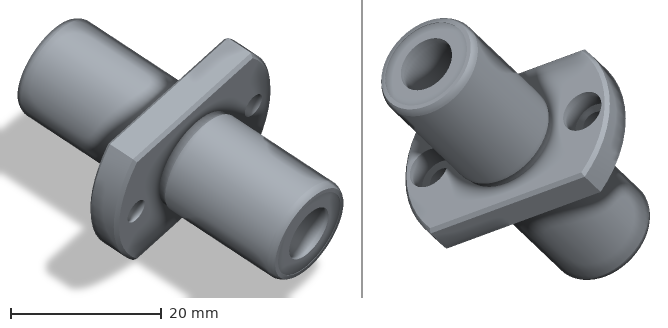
import cadquery as cq

sleeve_length = 45.0
sleeve_diameter = 15.0
bore_diameter = 8.0

end_bevel_length = 1.0
end_bevel_depth = 0.5
end_bevel_radius = 2.25

recess_diameter = 12.8
recess_depth = 0.1

groove_width = 1.2
groove_depth = 0.25
groove_depth_at_flange = 0.22

flange_diameter = 32.0
flange_height = 21.0
flange_thickness = 5.0
flange_chamfer = 0.5

hole_spacing = 24.0
hole_diameter = 3.5
counterbore_diameter = 6.0
counterbore_depth = 3.1

half_length = sleeve_length / 2
sleeve_radius = sleeve_diameter / 2
flange_face_x = flange_thickness / 2


def cylinder_x(diameter, start_x, length):
    """Cylinder along +X from start_x, centred on the X axis."""
    return cq.Workplane("YZ", origin=(start_x, 0, 0)).circle(diameter / 2).extrude(length)


def make_sleeve_half():
    """The +X half of the solid sleeve, with its bevelled end and its relief groove."""
    groove_end_x = flange_face_x + groove_width
    bevel_start_x = half_length - end_bevel_length
    return (
        cq.Workplane("XY")
        .lineTo(0, sleeve_radius - groove_depth_at_flange)
        .lineTo(flange_face_x, sleeve_radius - groove_depth_at_flange)
        .threePointArc(
            (flange_face_x + groove_width / 2, sleeve_radius - groove_depth),
            (groove_end_x, sleeve_radius),
        )
        .lineTo(bevel_start_x, sleeve_radius)
        .radiusArc((half_length, sleeve_radius - end_bevel_depth), end_bevel_radius)
        .lineTo(half_length, 0)
        .close()
        .revolve(360, (0, 0, 0), (1, 0, 0))
    )


def make_flange():
    """Disc with flats at the top and bottom, chamfered around both faces."""
    disc = cylinder_x(flange_diameter, -flange_face_x, flange_thickness)
    flats = cq.Workplane("XY").box(flange_thickness, flange_diameter, flange_height)
    return disc.intersect(flats).faces("<X or >X").chamfer(flange_chamfer)


def make_mounting_hole():
    """Cutter for one counterbored hole through the flange, centred on the X axis."""
    through = cylinder_x(hole_diameter, -flange_face_x, flange_thickness)
    counterbore = cylinder_x(counterbore_diameter, -flange_face_x, counterbore_depth)
    return through.union(counterbore)


flange = make_flange()
for hole_y in (-hole_spacing / 2, hole_spacing / 2):
    flange = flange.cut(make_mounting_hole().translate((0, hole_y, 0)))

sleeve_half = make_sleeve_half()
body = flange.union(sleeve_half).union(sleeve_half.mirror("YZ"))

for recess_start_x in (-half_length, half_length - recess_depth):
    body = body.cut(cylinder_x(recess_diameter, recess_start_x, recess_depth))

result = body.cut(cylinder_x(bore_diameter, -half_length, sleeve_length))